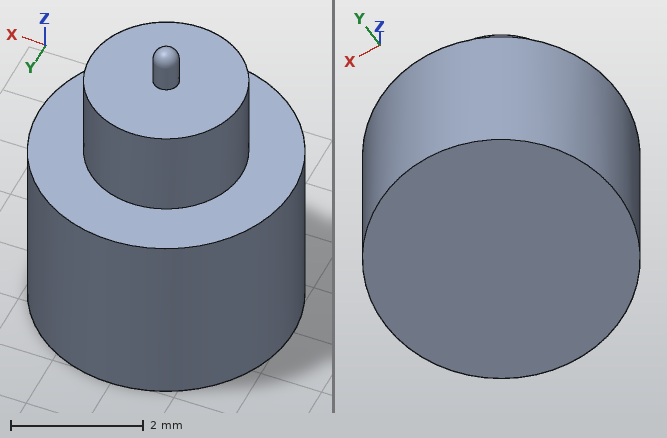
import cadquery as cq

total_height = 5.2
base_diameter = 4.2
base_height = 3.05
collar_diameter = 2.5
collar_height = 1.5
pin_diameter = 0.4

collar_top = base_height + collar_height
pin_radius = pin_diameter / 2
pin_height = total_height - collar_top

base = cq.Workplane("XY").circle(base_diameter / 2).extrude(base_height)
body = base.faces(">Z").workplane().circle(collar_diameter / 2).extrude(collar_height)

pin = (
    cq.Workplane("XY", origin=(0, 0, collar_top))
    .circle(pin_radius)
    .extrude(pin_height - pin_radius)
)
tip = cq.Workplane("XY", origin=(0, 0, total_height - pin_radius)).sphere(pin_radius)

result = body.union(pin).union(tip)